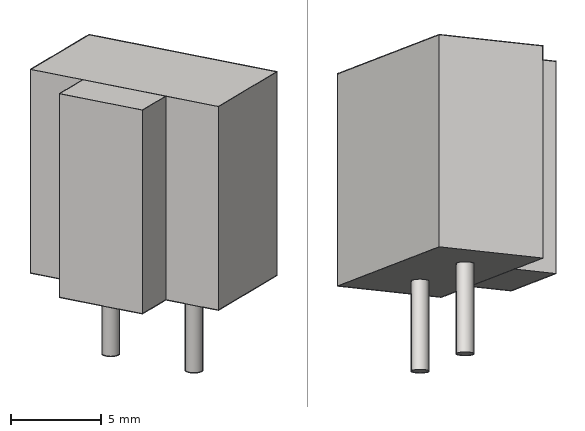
import cadquery as cq

total_height = 17.1
total_depth = 9.1
body_width = 12.0
body_height = 12.0
body_depth = 6.5

block_width = 5.3
block_depth = total_depth - body_depth

pin_diameter = 1.0
pin_spacing = 5.32
pin_length = total_height - body_height
pin_y = 3.1


def make_body():
    """Main box: front face on Y = 0, underside on Z = 0."""
    return cq.Workplane("XY").box(body_width, body_depth, body_height, centered=(True, False, False))


def make_front_block():
    """Full-height block standing against the front face of the body."""
    return (
        cq.Workplane("XY")
        .box(block_width, block_depth, body_height, centered=(True, False, False))
        .translate((0, -block_depth, 0))
    )


def make_pin(x):
    """Round pin whose top end touches the underside of the body."""
    return cq.Workplane("XY").center(x, pin_y).circle(pin_diameter / 2).extrude(-pin_length)


body = make_body()
front_block = make_front_block()
pins = [make_pin(side * pin_spacing / 2) for side in (-1, 1)]

result = cq.Compound.makeCompound([body.val(), front_block.val(), *[pin.val() for pin in pins]])